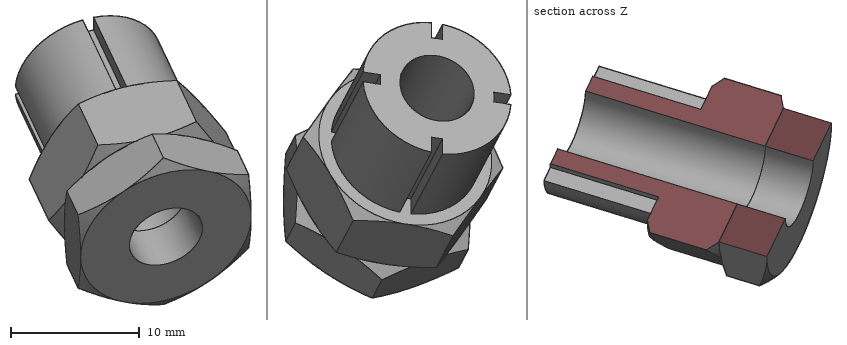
import cadquery as cq
import math

TOTAL_LENGTH = 19.0
SLEEVE_LENGTH = 9.0
BODY_HEX_LENGTH = 6.0
NUT_LENGTH = TOTAL_LENGTH - SLEEVE_LENGTH - BODY_HEX_LENGTH
SLEEVE_DIAMETER = 12.0
BORE_DIAMETER = 6.0
ACROSS_FLATS = 14.0
CHAMFER_ANGLE = 30.0
SLOT_WIDTH = 0.9
SLOT_DEPTH = 1.4
SLOT_COUNT = 4

SLEEVE_RADIUS = SLEEVE_DIAMETER / 2
FLAT_RADIUS = ACROSS_FLATS / 2
CORNER_RADIUS = FLAT_RADIUS / math.cos(math.radians(30))
CHAMFER_LENGTH = (CORNER_RADIUS - FLAT_RADIUS) * math.tan(math.radians(CHAMFER_ANGLE))
NUT_START = SLEEVE_LENGTH + BODY_HEX_LENGTH


def cylinder(start, length, diameter):
    """Round bar along X."""
    return cq.Workplane("YZ", origin=(start, 0, 0)).circle(diameter / 2).extrude(length)


def chamfered_hexagon(start, length, turn):
    """Hexagonal prism along X, its corners trimmed by a cone at both ends.

    With no turn two corners lie on the Y axis; turn is in degrees about X.
    """
    prism = cq.Workplane("YZ", origin=(start, 0, 0)).polygon(6, 2 * CORNER_RADIUS).extrude(length)
    end = start + length
    envelope = (
        cq.Workplane("XY")
        .moveTo(start, 0)
        .lineTo(start, FLAT_RADIUS)
        .lineTo(start + CHAMFER_LENGTH, CORNER_RADIUS)
        .lineTo(end - CHAMFER_LENGTH, CORNER_RADIUS)
        .lineTo(end, FLAT_RADIUS)
        .lineTo(end, 0)
        .close()
        .revolve(360, (0, 0, 0), (1, 0, 0))
    )
    return prism.intersect(envelope).rotate((0, 0, 0), (1, 0, 0), turn)


def sleeve_slot(turn):
    """Cutter for one lengthwise slot in the sleeve, ending at the hexagon face."""
    slot = cq.Workplane("XY").box(SLEEVE_LENGTH, SLOT_WIDTH, 2 * SLOT_DEPTH, centered=(False, True, True))
    return slot.translate((0, 0, SLEEVE_RADIUS)).rotate((0, 0, 0), (1, 0, 0), turn)


def make_slotted_body():
    """Slotted sleeve with an integral hexagon."""
    body = cylinder(0, SLEEVE_LENGTH, SLEEVE_DIAMETER)
    for index in range(SLOT_COUNT):
        body = body.cut(sleeve_slot(index * 360 / SLOT_COUNT))
    body = body.union(chamfered_hexagon(SLEEVE_LENGTH, BODY_HEX_LENGTH, 0))
    return body.cut(cylinder(0, NUT_START, BORE_DIAMETER))


def make_nut():
    """Hex nut against the body, turned so two corners lie on the Z axis."""
    nut = chamfered_hexagon(NUT_START, NUT_LENGTH, 90)
    return nut.cut(cylinder(NUT_START, NUT_LENGTH, BORE_DIAMETER))


slotted_body = make_slotted_body()
nut = make_nut()

result = cq.Compound.makeCompound([slotted_body.val(), nut.val()])